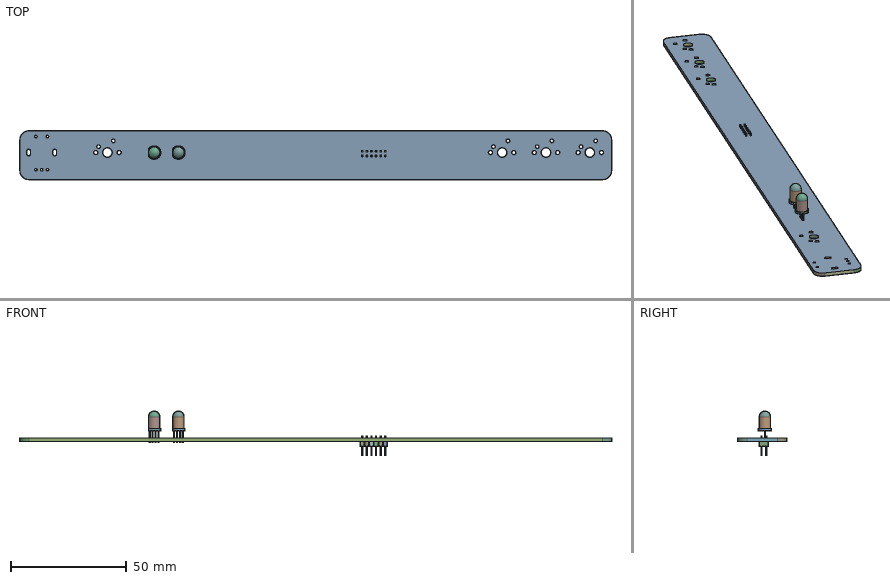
import cadquery as cq
import math

BOARD_LENGTH = 257.2
BOARD_WIDTH = 21.3
BOARD_THICKNESS = 1.6
BOARD_CORNER_RADIUS = 4.0
BOARD_LENGTH_IN_KEYS = 13.5
COMPONENT_ROW_Y = 1.15

KEY_PITCH = BOARD_LENGTH / BOARD_LENGTH_IN_KEYS
FIRST_KEY_X = 2 * KEY_PITCH
KEY_COLUMNS = (0, 9, 10, 11)
GRID_STEPS_PER_KEY = 15
GRID = KEY_PITCH / GRID_STEPS_PER_KEY
STEM_HOLE_RADIUS = 2.0
PEG_HOLE_DIAMETER = 1.7
PEG_OFFSET = 4 * GRID
CONTACT_HOLE_DIAMETER = 1.5
CONTACT_POSITIONS = ((-3 * GRID, 2 * GRID), (2 * GRID, 4 * GRID))

ENCODER_X = KEY_PITCH / 2
ENCODER_HOLE_DIAMETER = 1.0
ENCODER_HOLE_PITCH = 2.5
ENCODER_SIGNAL_Y = -7.5
ENCODER_BUTTON_Y = 7.0
ENCODER_SLOT_LENGTH = 2.8
ENCODER_SLOT_WIDTH = 1.5
ENCODER_SLOT_OFFSET = 5.7

LED_POSITIONS_X = (58.5, 69.0)
LED_RADIUS = 2.5
LED_STANDOFF = 3.0
LED_FLANGE_DIAMETER = 6.0
LED_BARREL_HEIGHT = 5.1
LED_FLANGE_THICKNESS = 0.95
LED_TOP_Z = LED_STANDOFF + LED_FLANGE_THICKNESS + LED_BARREL_HEIGHT + LED_RADIUS
LED_LEAD_COUNT = 4
LED_LEAD_PITCH = GRID
LED_LEAD_SIZE = 0.5
LED_LEAD_BOTTOM_Z = -2.0
LED_HOLE_DIAMETER = 0.9

HEADER_X = 153.8
HEADER_Y = 0.7
HEADER_COLUMNS = 6
HEADER_ROWS = 2
HEADER_PITCH = 2.0
HEADER_BASE_HEIGHT = 2.0
HEADER_CHAMFER = 0.2
HEADER_PIN_SIZE = 0.55
HEADER_PIN_TOP_Z = 0.8
TOTAL_HEIGHT = 19.3
HEADER_PIN_BOTTOM_Z = LED_TOP_Z - TOTAL_HEIGHT
HEADER_HOLE_DIAMETER = 0.8


def lead_positions(led_x):
    """Centres of the leads of one LED, in a row along X."""
    middle = (LED_LEAD_COUNT - 1) / 2
    return [(led_x + (i - middle) * LED_LEAD_PITCH, COMPONENT_ROW_Y) for i in range(LED_LEAD_COUNT)]


def cut_holes(board, centres, diameter):
    """Drill round holes through the board."""
    drills = (
        cq.Workplane("XY")
        .workplane(offset=-BOARD_THICKNESS)
        .pushPoints(centres)
        .circle(diameter / 2)
        .extrude(BOARD_THICKNESS)
    )
    return board.cut(drills)


def cut_key_footprint(board, key_x):
    """Stem hole, two peg holes and two contact holes of one key switch."""
    pegs = [(key_x + side * PEG_OFFSET, COMPONENT_ROW_Y) for side in (-1, 1)]
    contacts = [(key_x + dx, COMPONENT_ROW_Y + dy) for dx, dy in CONTACT_POSITIONS]
    board = cut_holes(board, [(key_x, COMPONENT_ROW_Y)], 2 * STEM_HOLE_RADIUS)
    board = cut_holes(board, pegs, PEG_HOLE_DIAMETER)
    return cut_holes(board, contacts, CONTACT_HOLE_DIAMETER)


def cut_encoder_footprint(board):
    """Three signal holes, two button holes and two mounting slots of the encoder."""
    signals = [(ENCODER_X + i * ENCODER_HOLE_PITCH, COMPONENT_ROW_Y + ENCODER_SIGNAL_Y) for i in (-1, 0, 1)]
    buttons = [(ENCODER_X + i * ENCODER_HOLE_PITCH, COMPONENT_ROW_Y + ENCODER_BUTTON_Y) for i in (-1, 1)]
    board = cut_holes(board, signals + buttons, ENCODER_HOLE_DIAMETER)
    slots = (
        cq.Workplane("XY")
        .workplane(offset=-BOARD_THICKNESS)
        .pushPoints([(ENCODER_X + side * ENCODER_SLOT_OFFSET, COMPONENT_ROW_Y) for side in (-1, 1)])
        .slot2D(ENCODER_SLOT_LENGTH, ENCODER_SLOT_WIDTH, 90)
        .extrude(BOARD_THICKNESS)
    )
    return board.cut(slots)


def header_columns_x():
    """X places of the header columns."""
    middle = (HEADER_COLUMNS - 1) / 2
    return [HEADER_X + (i - middle) * HEADER_PITCH for i in range(HEADER_COLUMNS)]


def header_positions():
    """Centres of the header pins."""
    middle = (HEADER_ROWS - 1) / 2
    rows_y = [HEADER_Y + (j - middle) * HEADER_PITCH for j in range(HEADER_ROWS)]
    return [(x, y) for x in header_columns_x() for y in rows_y]


def make_board():
    """Rounded plate with the holes of every component."""
    board = (
        cq.Workplane("XY")
        .box(BOARD_LENGTH, BOARD_WIDTH, BOARD_THICKNESS)
        .edges("|Z")
        .fillet(BOARD_CORNER_RADIUS)
        .translate((BOARD_LENGTH / 2, 0, -BOARD_THICKNESS / 2))
    )
    for column in KEY_COLUMNS:
        board = cut_key_footprint(board, FIRST_KEY_X + column * KEY_PITCH)
    board = cut_encoder_footprint(board)
    for led_x in LED_POSITIONS_X:
        board = cut_holes(board, lead_positions(led_x), LED_HOLE_DIAMETER)
    return cut_holes(board, header_positions(), HEADER_HOLE_DIAMETER)


def make_led(led_x):
    """Domed lens on a flange with a flat on the -X side, and four square leads passing through the board."""
    radius = LED_RADIUS
    flange_radius = LED_FLANGE_DIAMETER / 2
    flange_top_z = LED_STANDOFF + LED_FLANGE_THICKNESS
    dome_base_z = LED_TOP_Z - radius
    dome_mid = radius * math.sqrt(0.5)
    lens = (
        cq.Workplane("XZ")
        .moveTo(0, LED_STANDOFF)
        .lineTo(flange_radius, LED_STANDOFF)
        .lineTo(flange_radius, flange_top_z)
        .lineTo(radius, flange_top_z)
        .lineTo(radius, dome_base_z)
        .threePointArc((dome_mid, dome_base_z + dome_mid), (0, LED_TOP_Z))
        .close()
        .revolve(360, (0, 0, 0), (0, 1, 0))
        .translate((led_x, COMPONENT_ROW_Y, 0))
    )
    flat = (
        cq.Workplane("XY")
        .workplane(offset=LED_STANDOFF)
        .center(led_x - radius - flange_radius, COMPONENT_ROW_Y)
        .rect(LED_FLANGE_DIAMETER, LED_FLANGE_DIAMETER)
        .extrude(LED_FLANGE_THICKNESS)
    )
    leads = (
        cq.Workplane("XY")
        .workplane(offset=LED_LEAD_BOTTOM_Z)
        .pushPoints(lead_positions(led_x))
        .rect(LED_LEAD_SIZE, LED_LEAD_SIZE)
        .extrude(LED_STANDOFF - LED_LEAD_BOTTOM_Z)
    )
    return lens.cut(flat).union(leads)


def make_header():
    """Base of chamfered segments under the board, with square pins running up through it."""
    segment = (
        cq.Workplane("XY")
        .box(HEADER_PITCH, HEADER_ROWS * HEADER_PITCH, HEADER_BASE_HEIGHT)
        .edges("|Z")
        .chamfer(HEADER_CHAMFER)
    )
    base_z = -BOARD_THICKNESS - HEADER_BASE_HEIGHT / 2
    base = cq.Workplane("XY")
    for column_x in header_columns_x():
        base = base.union(segment.translate((column_x, HEADER_Y, base_z)))
    pins = (
        cq.Workplane("XY")
        .workplane(offset=HEADER_PIN_BOTTOM_Z)
        .pushPoints(header_positions())
        .rect(HEADER_PIN_SIZE, HEADER_PIN_SIZE)
        .extrude(HEADER_PIN_TOP_Z - HEADER_PIN_BOTTOM_Z)
    )
    return base.union(pins)


board = make_board()
leds = [make_led(led_x) for led_x in LED_POSITIONS_X]
header = make_header()

result = cq.Compound.makeCompound([board.val(), *[led.val() for led in leds], header.val()])